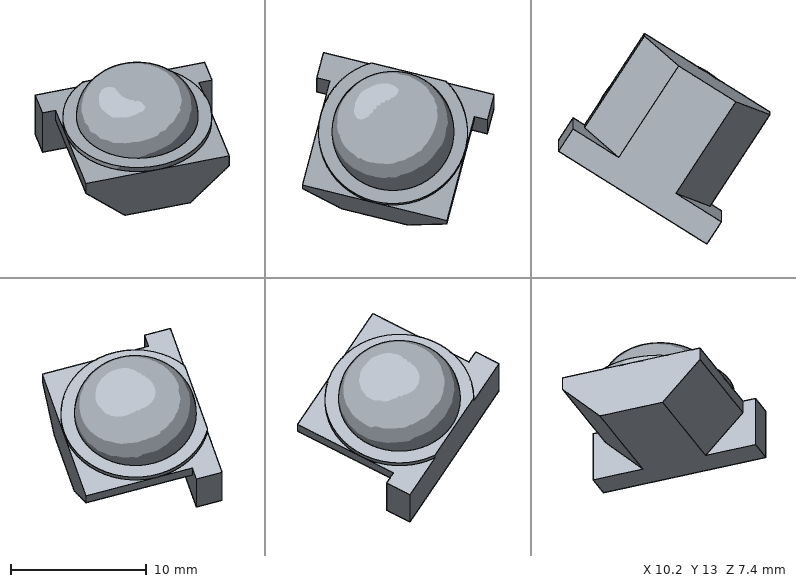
import cadquery as cq

length = 10.2
width = 13.0
height = 7.4

wall_thickness = 2.0
plate_width = 11.0
plate_thickness = 1.0

flange_radius = plate_width / 2
flange_thickness = 0.4
dome_radius = 4.5
dome_height = 3.0
dome_flat_radius = dome_radius - dome_height
lens_x = length - flange_radius

flange_base_z = height - dome_height - flange_thickness
dome_base_z = height - dome_height
plate_base_z = flange_base_z - plate_thickness

foot_width = plate_width - 2 * plate_base_z


def make_wall():
    """Full-width upright wall at the -X end."""
    return cq.Workplane("XY").box(
        wall_thickness, width, flange_base_z, centered=(False, True, False)
    )


def make_body():
    """Plate and tapered foot as one profile swept along X."""
    half_plate = plate_width / 2
    half_foot = foot_width / 2
    return (
        cq.Workplane("YZ")
        .moveTo(-half_foot, 0)
        .lineTo(half_foot, 0)
        .lineTo(half_plate, plate_base_z)
        .lineTo(half_plate, flange_base_z)
        .lineTo(-half_plate, flange_base_z)
        .lineTo(-half_plate, plate_base_z)
        .close()
        .extrude(length)
    )


def make_flange():
    """Round flange, cut flush with the outer face of the wall."""
    disc = (
        cq.Workplane("XY", origin=(lens_x, 0, flange_base_z))
        .circle(flange_radius)
        .extrude(flange_thickness)
    )
    trim = cq.Workplane("XY").box(length, width, height, centered=(False, True, False))
    return disc.intersect(trim)


def make_dome():
    """Quarter-round profile revolved about the lens axis, leaving a flat top."""
    return (
        cq.Workplane("XZ", origin=(lens_x, 0, dome_base_z))
        .lineTo(dome_radius, 0)
        .radiusArc((dome_flat_radius, dome_height), -dome_height)
        .lineTo(0, dome_height)
        .close()
        .revolve(360, (0, 0, 0), (0, 1, 0))
    )


result = make_wall().union(make_body()).union(make_flange()).union(make_dome())